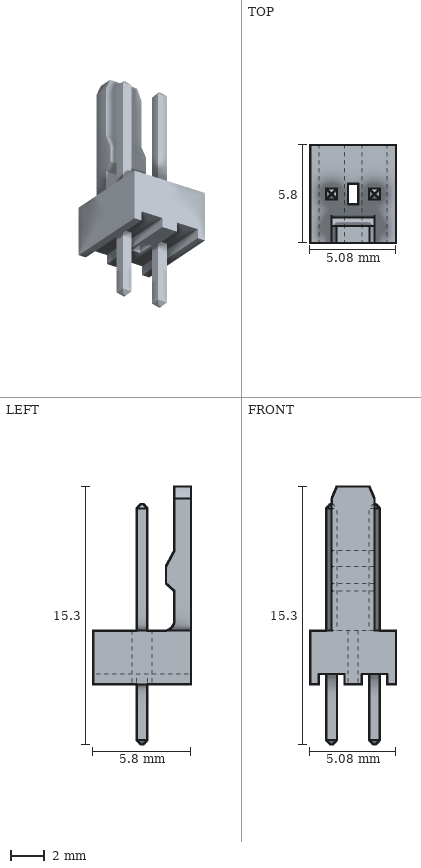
import cadquery as cq


pitch = 2.54
pin_count = 2
pin_size = 0.64
pin_tip_size = 0.14
pin_tip_height = 0.26
pin_bottom_z = -3.56
pin_above_body = 7.5

body_width = pin_count * pitch
body_depth = 5.8
body_height = 3.17
groove_width = 1.5
groove_height = 0.6
window_width = 0.6
window_depth = 1.2

tab_width = pitch
tab_thickness = 1.0
tab_height = 8.53
tab_corner_width = 0.3
tab_corner_height = 0.7
root_radius = 0.6
bump_depth = 0.5
bump_base_bottom = 2.35
bump_crest_bottom = 2.8
bump_crest_top = 3.8
bump_base_top = 4.73

front_y = -body_depth / 2
pin_top_z = body_height + pin_above_body
pin_xs = [(i - (pin_count - 1) / 2) * pitch for i in range(pin_count)]


def make_body():
    """Block with a groove under each pin and a central window."""
    body = cq.Workplane("XY").box(body_width, body_depth, body_height, centered=(True, True, False))
    for x in pin_xs:
        groove = (
            cq.Workplane("XY")
            .center(x, 0)
            .box(groove_width, body_depth, groove_height, centered=(True, True, False))
        )
        body = body.cut(groove)
    window = cq.Workplane("XY").rect(window_width, window_depth).extrude(body_height)
    return body.cut(window)


def make_tab():
    """Upright tab on the front edge, with a latch bump and a rounded root."""
    back_y = front_y + tab_thickness
    crest_y = back_y + bump_depth
    root_z = body_height
    tab = (
        cq.Workplane("YZ")
        .moveTo(front_y, root_z)
        .lineTo(back_y + root_radius, root_z)
        .radiusArc((back_y, root_z + root_radius), root_radius)
        .lineTo(back_y, root_z + bump_base_bottom)
        .lineTo(crest_y, root_z + bump_crest_bottom)
        .lineTo(crest_y, root_z + bump_crest_top)
        .lineTo(back_y, root_z + bump_base_top)
        .lineTo(back_y, root_z + tab_height)
        .lineTo(front_y, root_z + tab_height)
        .close()
        .extrude(tab_width / 2, both=True)
    )
    half_width = tab_width / 2
    top_z = root_z + tab_height
    corner = (
        cq.Workplane("XZ")
        .moveTo(half_width, top_z)
        .lineTo(half_width - tab_corner_width, top_z)
        .lineTo(half_width, top_z - tab_corner_height)
        .close()
        .extrude(body_depth / 2, both=True)
    )
    return tab.cut(corner).cut(corner.mirror("YZ"))


def make_tip(shoulder_z, direction):
    """Blunt pyramid that tapers away from shoulder_z, up (+1) or down (-1)."""
    return (
        cq.Workplane("XY", origin=(0, 0, shoulder_z))
        .rect(pin_size, pin_size)
        .workplane(offset=direction * pin_tip_height)
        .rect(pin_tip_size, pin_tip_size)
        .loft(ruled=True)
    )


def make_pin():
    """Square pin on the Z axis, pointed at both ends."""
    lower_shoulder = pin_bottom_z + pin_tip_height
    upper_shoulder = pin_top_z - pin_tip_height
    shank = (
        cq.Workplane("XY", origin=(0, 0, lower_shoulder))
        .rect(pin_size, pin_size)
        .extrude(upper_shoulder - lower_shoulder)
    )
    return shank.union(make_tip(upper_shoulder, 1)).union(make_tip(lower_shoulder, -1))


result = make_body().union(make_tab())
for pin_x in pin_xs:
    result = result.union(make_pin().translate((pin_x, 0, 0)))